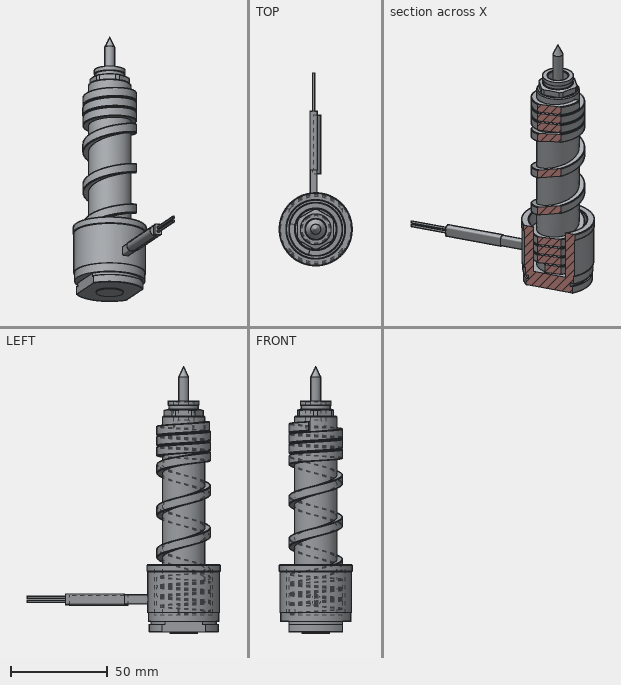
import cadquery as cq
import math

TOTAL_HEIGHT = 138.2
TOTAL_DEPTH = 100.0

BOSS_RADIUS = 7.0
FOOT_BOTTOM = 0.5
FOOT_RADIUS = 18.0
FOOT_CHAMFER = 0.3
NECK_BOTTOM = 4.5
NECK_RADIUS = 17.0
FLAT_HALF_WIDTH = 14.0

CUP_BOTTOM = 6.2
STEP_TOP = 10.6
STEP_RADIUS = 18.2
CUP_RADIUS = 18.7
RIM_BOTTOM = 32.2
CUP_TOP = 35.5
RIM_RADIUS = 38.0 / 2
RIM_CHAMFER = RIM_RADIUS - CUP_RADIUS
CUP_BORE_RADIUS = 15.0
CUP_BORE_CHAMFER = 0.4
CUP_FLOOR = 9.4

TUBE_RADIUS = 11.0
TUBE_TOP = 112.5
TUBE_CHAMFER = 0.5

HEX_ACROSS_FLATS = 18.7
HEX_TOP = 116.0
HEX_CORNER_RADIUS = 10.2
HEX_CONE_DROP = 0.5

COLLAR_TOP = 120.2
COLLAR_RADIUS = 8.0
GROOVE_RADIUS = 7.6
GROOVE_TOP = 118.2
GROOVE_TAPER = 0.3
COLLAR_BORE_RADIUS = 5.3
BORE_CHAMFER = 0.4
COLLAR_BORE_DEPTH = 13.8

PIN_RADIUS = 2.6
POINT_BASE_RADIUS = 2.3
POINT_BASE = 133.2
SHANK_TOP = 132.7
PIN_SHOULDER_HEIGHT = 4.1

SPRING_OUTER_RADIUS = 14.0
SPRING_OVERLAP = 0.3
SPRING_INNER_RADIUS = TUBE_RADIUS - SPRING_OVERLAP
WIRE_HEIGHT = 4.8
WIRE_CHAMFER = 0.35
SPRING_TOP = 109.7
SPRING_TOP_ANGLE = 254.0
COIL_GAP = 0.48
CLOSED_PITCH = WIRE_HEIGHT + COIL_GAP
OPEN_PITCH = 21.8
CLOSED_TURNS = 3.035
OPEN_TURNS = 2.41
TRANSITION_TURNS = 0.38
POINTS_PER_TURN = 24

CABLE_X = -1.1
CABLE_Z = 17.5
STRIP_WIDTH = 3.6
STRIP_HEIGHT = 5.0
STRIP_CORNER = 0.7
SLEEVE_WIDTH = 3.9
SLEEVE_HEIGHT = 5.7
SLEEVE_CORNER = 0.9
SLEEVE_START = 30.7
SLEEVE_END = 61.2
LEAD_RADIUS = 0.62
LEAD_SPACING = 2.1
LEAD_END = TOTAL_DEPTH - RIM_RADIUS
SIDE_TUBE_RADIUS = 2.6
SIDE_TUBE_Z = 17.1
SIDE_TUBE_START = 28.7
SIDE_TUBE_END = 59.1
CABLE_START = (CUP_BORE_RADIUS + CUP_RADIUS) / 2


def turned(profile):
    """Revolve a closed (radius, height) outline about the Z axis."""
    return cq.Workplane("XZ").polyline(profile).close().revolve(360, (0, 0), (0, 1))


def cylinder(radius, bottom, top):
    return cq.Workplane("XY").workplane(offset=bottom).circle(radius).extrude(top - bottom)


def make_base():
    foot = cylinder(FOOT_RADIUS, FOOT_BOTTOM, NECK_BOTTOM).faces("<Z").chamfer(FOOT_CHAMFER)
    neck = cylinder(NECK_RADIUS, NECK_BOTTOM, CUP_BOTTOM)
    flats = cq.Workplane("XY").rect(2 * FLAT_HALF_WIDTH, 4 * FOOT_RADIUS).extrude(CUP_BOTTOM)
    boss = cylinder(BOSS_RADIUS, 0, FOOT_BOTTOM)
    return foot.union(neck).intersect(flats).union(boss)


def make_cup():
    return turned([
        (0, CUP_BOTTOM),
        (STEP_RADIUS, CUP_BOTTOM),
        (STEP_RADIUS, STEP_TOP),
        (CUP_RADIUS, STEP_TOP),
        (CUP_RADIUS, RIM_BOTTOM - RIM_CHAMFER),
        (RIM_RADIUS, RIM_BOTTOM),
        (RIM_RADIUS, CUP_TOP - RIM_CHAMFER),
        (RIM_RADIUS - RIM_CHAMFER, CUP_TOP),
        (CUP_BORE_RADIUS + CUP_BORE_CHAMFER, CUP_TOP),
        (CUP_BORE_RADIUS, CUP_TOP - CUP_BORE_CHAMFER),
        (CUP_BORE_RADIUS, CUP_FLOOR),
        (0, CUP_FLOOR),
    ])


def make_tube():
    return cylinder(TUBE_RADIUS, CUP_FLOOR, TUBE_TOP).faces(">Z").chamfer(TUBE_CHAMFER)


def make_hex():
    corner_diameter = HEX_ACROSS_FLATS / math.cos(math.pi / 6)
    prism = (
        cq.Workplane("XY").workplane(offset=TUBE_TOP)
        .transformed(rotate=(0, 0, 30))
        .polygon(6, corner_diameter)
        .extrude(HEX_TOP - TUBE_TOP)
    )
    envelope = turned([
        (0, TUBE_TOP),
        (HEX_CORNER_RADIUS, TUBE_TOP),
        (HEX_CORNER_RADIUS, HEX_TOP - HEX_CONE_DROP),
        (COLLAR_RADIUS, HEX_TOP),
        (0, HEX_TOP),
    ])
    return prism.intersect(envelope)


def make_collar():
    return turned([
        (0, HEX_TOP),
        (COLLAR_RADIUS, HEX_TOP),
        (GROOVE_RADIUS, HEX_TOP + GROOVE_TAPER),
        (GROOVE_RADIUS, GROOVE_TOP - GROOVE_TAPER),
        (COLLAR_RADIUS, GROOVE_TOP),
        (COLLAR_RADIUS, COLLAR_TOP),
        (0, COLLAR_TOP),
    ])


def make_collar_bore(floor):
    return turned([
        (0, floor),
        (COLLAR_BORE_RADIUS, floor),
        (COLLAR_BORE_RADIUS, COLLAR_TOP - BORE_CHAMFER),
        (COLLAR_BORE_RADIUS + BORE_CHAMFER, COLLAR_TOP),
        (0, COLLAR_TOP),
    ])


def make_pin(seat):
    """Pin rising from a conical shoulder on the floor of the collar bore."""
    return turned([
        (0, seat),
        (COLLAR_BORE_RADIUS, seat),
        (PIN_RADIUS, seat + PIN_SHOULDER_HEIGHT),
        (PIN_RADIUS, SHANK_TOP),
        (POINT_BASE_RADIUS, POINT_BASE),
        (0, TOTAL_HEIGHT),
    ])


def make_spring():
    """Run a flat wire with chamfered outer corners down from the upper end of the spring."""
    stretches = [
        (CLOSED_TURNS, CLOSED_PITCH, CLOSED_PITCH),
        (TRANSITION_TURNS, CLOSED_PITCH, OPEN_PITCH),
        (OPEN_TURNS, OPEN_PITCH, OPEN_PITCH),
        (TRANSITION_TURNS, OPEN_PITCH, CLOSED_PITCH),
        (CLOSED_TURNS, CLOSED_PITCH, CLOSED_PITCH),
    ]
    corners = [
        (SPRING_INNER_RADIUS, 0),
        (SPRING_OUTER_RADIUS - WIRE_CHAMFER, 0),
        (SPRING_OUTER_RADIUS, WIRE_CHAMFER),
        (SPRING_OUTER_RADIUS, WIRE_HEIGHT - WIRE_CHAMFER),
        (SPRING_OUTER_RADIUS - WIRE_CHAMFER, WIRE_HEIGHT),
        (SPRING_INNER_RADIUS, WIRE_HEIGHT),
    ]

    def corner_point(corner, angle, height):
        radius, rise = corner
        return cq.Vector(radius * math.cos(angle), radius * math.sin(angle), height + rise)

    def corner_tangent(corner, angle, pitch):
        radius = corner[0]
        slope = pitch / (2 * math.pi)
        return cq.Vector(radius * math.sin(angle), -radius * math.cos(angle), -slope)

    def end_face(angle, height):
        points = [corner_point(corner, angle, height) for corner in corners]
        return cq.Face.makeFromWires(cq.Wire.makePolygon(points, close=True))

    angle = math.radians(SPRING_TOP_ANGLE)
    height = SPRING_TOP - WIRE_HEIGHT
    faces = [end_face(angle, height)]
    for turns, first_pitch, last_pitch in stretches:
        steps = math.ceil(turns * POINTS_PER_TURN)
        stations = []
        sweep_angles = []
        for step in range(steps + 1):
            part = step / steps
            mean_pitch = first_pitch + (last_pitch - first_pitch) * part / 2
            turned_by = turns * part
            sweep_angles.append(2 * math.pi * turned_by)
            stations.append((angle - sweep_angles[-1], height - mean_pitch * turned_by))
        last_angle, last_height = stations[-1]
        edges = []
        for corner in corners:
            points = [corner_point(corner, *station) for station in stations]
            tangents = [
                corner_tangent(corner, angle, first_pitch),
                corner_tangent(corner, last_angle, last_pitch),
            ]
            edges.append(cq.Edge.makeSpline(points, tangents, parameters=sweep_angles, scale=False))
        for index, edge in enumerate(edges):
            faces.append(cq.Face.makeRuledSurface(edges[index - 1], edge))
        angle, height = last_angle, last_height
    faces.append(end_face(angle, height))
    return cq.Workplane(cq.Solid.makeSolid(cq.Shell.makeShell(faces)))


def along_y(start, x, z):
    """Workplane facing +Y at y = start, centred on (x, z)."""
    return cq.Workplane(cq.Plane(origin=(x, start, z), xDir=(1, 0, 0), normal=(0, 1, 0)))


def rounded_bar(start, end, width, height, corner):
    bar = along_y(start, CABLE_X, CABLE_Z).rect(width, height).extrude(end - start)
    return bar.edges("|Y").fillet(corner)


def make_cable():
    strip = rounded_bar(CABLE_START, SLEEVE_START, STRIP_WIDTH, STRIP_HEIGHT, STRIP_CORNER)
    sleeve = rounded_bar(SLEEVE_START, SLEEVE_END, SLEEVE_WIDTH, SLEEVE_HEIGHT, SLEEVE_CORNER)
    side_tube = (
        along_y(SIDE_TUBE_START, 0, SIDE_TUBE_Z)
        .circle(SIDE_TUBE_RADIUS)
        .extrude(SIDE_TUBE_END - SIDE_TUBE_START)
    )
    cable = strip.union(sleeve).union(side_tube)
    for side in (-1, 1):
        lead = (
            along_y(SLEEVE_END, CABLE_X, CABLE_Z + side * LEAD_SPACING / 2)
            .circle(LEAD_RADIUS)
            .extrude(LEAD_END - SLEEVE_END)
        )
        cable = cable.union(lead)
    return cable


bore_floor = COLLAR_TOP - COLLAR_BORE_DEPTH

result = (
    make_base()
    .union(make_cup())
    .union(make_tube())
    .union(make_hex())
    .union(make_collar())
    .cut(make_collar_bore(bore_floor))
    .union(make_pin(bore_floor))
    .union(make_cable())
    .union(make_spring())
)